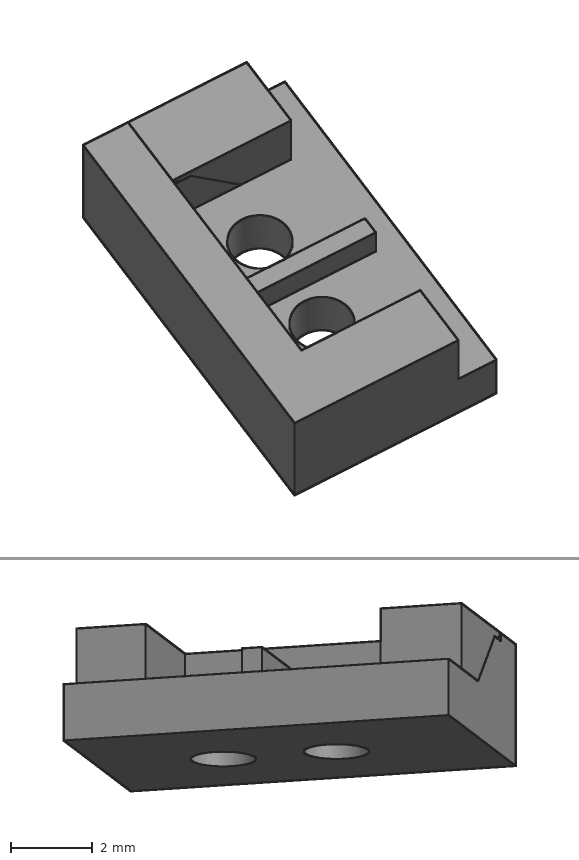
import cadquery as cq

length = 9.8
width = 5.8
height = 3.05

floor_height = 1.41
front_wall = 1.29
left_block_length = 2.06
right_block_start = 8.04
rear_ledge = 1.1
block_rear = width - rear_ledge

rib_start = 4.99
rib_thickness = 0.5
rib_height = 0.79
rib_rear = 5.01

hole_diameter = 1.6
hole_y = 2.75
hole_centers_x = (3.75, 6.63)

ramp_foot_y = 3.26
step_depth = 0.2
step_height = height - step_depth
ramp_top_y = ramp_foot_y - (step_height - floor_height)

underside_run_per_rise = (ramp_foot_y - front_wall) / (height - floor_height)
step_contact_y = front_wall + step_depth * underside_run_per_rise


def box(x_range, y_range, z_range):
    """Box spanning the given (start, end) pairs."""
    size = [end - start for start, end in (x_range, y_range, z_range)]
    corner = (x_range[0], y_range[0], z_range[0])
    return cq.Workplane("XY").box(*size, centered=False).translate(corner)


def extrude_from_left_end(yz_points):
    """Extrude a YZ outline from the left end over the left block's length."""
    return cq.Workplane("YZ").polyline(yz_points).close().extrude(left_block_length)


def make_base():
    """Floor plate with front wall, right block, ramped seat, rib and holes."""
    plate = box((0, length), (0, width), (0, floor_height))
    wall = box((0, length), (0, front_wall), (0, height))
    right_block = box((right_block_start, length), (0, block_rear), (0, height))
    rib = box(
        (rib_start, rib_start + rib_thickness),
        (front_wall, rib_rear),
        (floor_height, floor_height + rib_height),
    )
    seat = extrude_from_left_end([
        (front_wall, floor_height),
        (ramp_foot_y, floor_height),
        (ramp_top_y, step_height),
        (front_wall, step_height),
    ])
    holes = (
        cq.Workplane("XY")
        .pushPoints([(x, hole_y) for x in hole_centers_x])
        .circle(hole_diameter / 2)
        .extrude(floor_height)
    )
    return plate.union(wall).union(right_block).union(rib).union(seat).cut(holes)


def make_left_block():
    """Separate end block resting on the floor, the ramp and the step."""
    return extrude_from_left_end([
        (block_rear, floor_height),
        (ramp_foot_y, floor_height),
        (ramp_top_y, step_height),
        (step_contact_y, step_height),
        (front_wall, height),
        (block_rear, height),
    ])


base = make_base()
left_block = make_left_block()

result = cq.Compound.makeCompound([base.val(), left_block.val()])